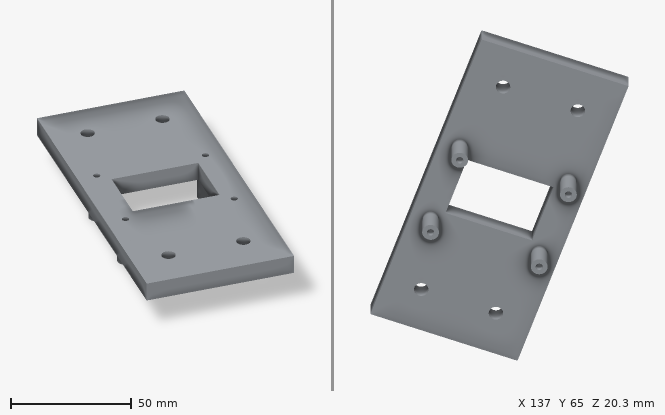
import cadquery as cq

plate_length = 137.0
plate_width = 65.0
plate_thickness = 8.3

window_length = 26.5
window_width = 38.2

mounting_hole_diameter = 6.0
mounting_spacing_x = 101.0
mounting_spacing_y = 33.0

standoff_diameter = 7.0
standoff_length = 12.0
standoff_bore_diameter = 3.0
standoff_spacing_x = 36.0
standoff_spacing_y = 48.0


def corner_points(spacing_x, spacing_y):
    """Four points at the corners of a rectangle centred on the plate."""
    return [(i * spacing_x / 2, j * spacing_y / 2) for i in (-1, 1) for j in (-1, 1)]


def make_plate():
    """Plain plate with its underside at Z = 0."""
    return cq.Workplane("XY").box(
        plate_length, plate_width, plate_thickness, centered=(True, True, False)
    )


def add_standoffs(body):
    """Round standoffs hanging from the underside of the plate."""
    standoffs = (
        cq.Workplane("XY")
        .pushPoints(corner_points(standoff_spacing_x, standoff_spacing_y))
        .circle(standoff_diameter / 2)
        .extrude(-standoff_length)
    )
    return body.union(standoffs)


def cut_window(body):
    """Rectangular opening through the plate."""
    window = cq.Workplane("XY").rect(window_length, window_width).extrude(plate_thickness)
    return body.cut(window)


def cut_holes(body, diameter, points):
    """Round holes from the top of the plate down through everything below."""
    holes = (
        cq.Workplane("XY", origin=(0, 0, plate_thickness))
        .pushPoints(points)
        .circle(diameter / 2)
        .extrude(-(plate_thickness + standoff_length))
    )
    return body.cut(holes)


result = make_plate()
result = add_standoffs(result)
result = cut_window(result)
result = cut_holes(result, mounting_hole_diameter, corner_points(mounting_spacing_x, mounting_spacing_y))
result = cut_holes(result, standoff_bore_diameter, corner_points(standoff_spacing_x, standoff_spacing_y))